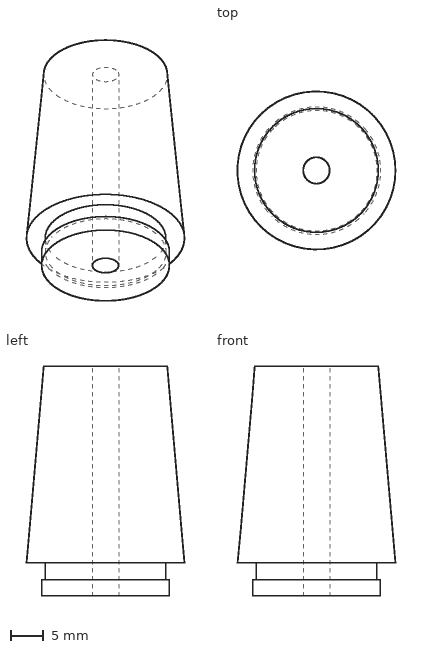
import cadquery as cq

total_height = 35.0
flange_diameter = 19.5
flange_height = 2.5
neck_diameter = 18.4
neck_height = 2.52
body_base_diameter = 24.1
body_top_diameter = 18.85
bore_diameter = 4.0

body_base_z = flange_height + neck_height

bore_radius = bore_diameter / 2
profile = (
    cq.Workplane("XZ")
    .moveTo(bore_radius, 0)
    .lineTo(flange_diameter / 2, 0)
    .lineTo(flange_diameter / 2, flange_height)
    .lineTo(neck_diameter / 2, flange_height)
    .lineTo(neck_diameter / 2, body_base_z)
    .lineTo(body_base_diameter / 2, body_base_z)
    .lineTo(body_top_diameter / 2, total_height)
    .lineTo(bore_radius, total_height)
    .close()
)
result = profile.revolve(360, (0, 0, 0), (0, 1, 0))